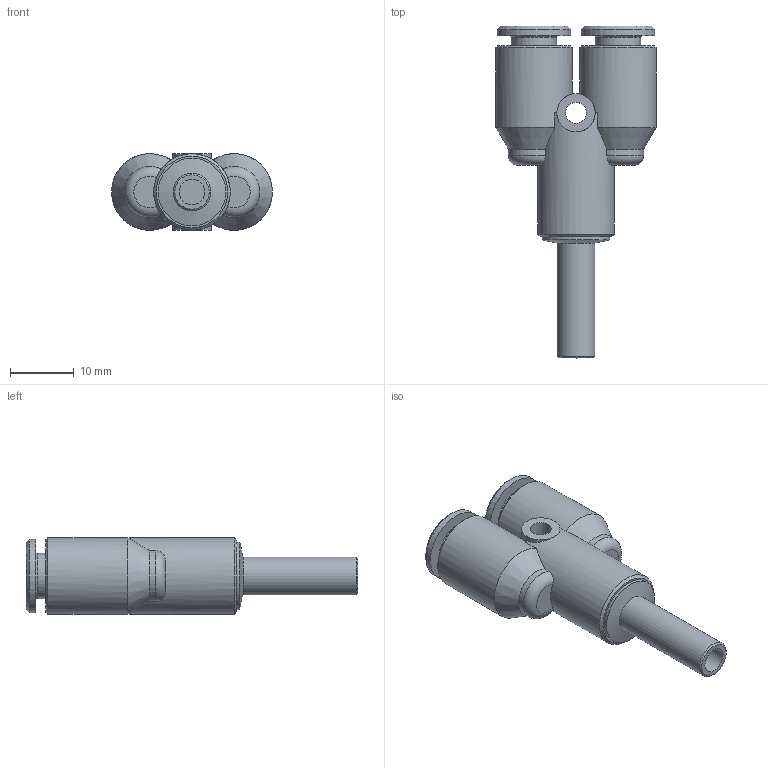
import cadquery as cq

TOTAL_LENGTH = 52.0
TOTAL_WIDTH = 25.2
BODY_RADIUS = 6.0
SOCKET_OFFSET = TOTAL_WIDTH / 2 - BODY_RADIUS

COLLAR_FACE_Y = 13.6
STEM_TIP_Y = COLLAR_FACE_Y - TOTAL_LENGTH

COLLAR_RADIUS = 5.75
COLLAR_THICKNESS = 1.5
COLLAR_CHAMFER = 0.5
NECK_RADIUS = 3.55
NECK_FLARE = 0.25
NECK_END_DEPTH = 3.1

SOCKET_CHAMFER = 0.3
SOCKET_STRAIGHT_DEPTH = 15.9
SOCKET_CONE_DEPTH = 19.3
SOCKET_END_DEPTH = 21.8
NOSE_RADIUS = 4.0
NOSE_FILLET = 1.5

EYE_RADIUS = 3.0
EYE_HOLE_RADIUS = 1.65
EYE_HEIGHT = 2 * BODY_RADIUS

STEM_RADIUS = 2.95
STEM_LENGTH = 18.0
STEM_CHAMFER = 0.25
BORE_RADIUS = 2.0
SHOULDER_Y = STEM_TIP_Y + STEM_LENGTH
CROWN_HEIGHT = 0.5
RIM_HEIGHT = 0.5
BODY_CHAMFER = 0.4
RIM_RADIUS = 5.3


def revolve_about_y(profile):
    """Revolve a closed radius-versus-Y profile around the Y axis."""
    return profile.close().revolve(360, (0, 0, 0), (0, 1, 0))


def make_socket():
    """Release collar, neck, straight body, cone and rounded nose, on the Y axis."""
    collar_back_y = COLLAR_FACE_Y - COLLAR_THICKNESS
    body_top_y = COLLAR_FACE_Y - NECK_END_DEPTH
    nose_y = COLLAR_FACE_Y - SOCKET_END_DEPTH
    profile = (
        cq.Workplane("XY")
        .moveTo(0, COLLAR_FACE_Y)
        .lineTo(COLLAR_RADIUS - COLLAR_CHAMFER, COLLAR_FACE_Y)
        .lineTo(COLLAR_RADIUS, COLLAR_FACE_Y - COLLAR_CHAMFER)
        .lineTo(COLLAR_RADIUS, collar_back_y)
        .lineTo(NECK_RADIUS + NECK_FLARE, collar_back_y)
        .lineTo(NECK_RADIUS, collar_back_y - NECK_FLARE)
        .lineTo(NECK_RADIUS, body_top_y)
        .lineTo(BODY_RADIUS - SOCKET_CHAMFER, body_top_y)
        .lineTo(BODY_RADIUS, body_top_y - SOCKET_CHAMFER)
        .lineTo(BODY_RADIUS, COLLAR_FACE_Y - SOCKET_STRAIGHT_DEPTH)
        .lineTo(NOSE_RADIUS, COLLAR_FACE_Y - SOCKET_CONE_DEPTH)
        .lineTo(NOSE_RADIUS, nose_y + NOSE_FILLET)
        .radiusArc((NOSE_RADIUS - NOSE_FILLET, nose_y), NOSE_FILLET)
        .lineTo(0, nose_y)
    )
    return revolve_about_y(profile)


def make_stem_body():
    """Central body with a stepped, conical shoulder and the plug-in stem."""
    rim_bottom_y = SHOULDER_Y + CROWN_HEIGHT
    body_bottom_y = rim_bottom_y + RIM_HEIGHT
    profile = (
        cq.Workplane("XY")
        .moveTo(0, 0)
        .lineTo(BODY_RADIUS, 0)
        .lineTo(BODY_RADIUS, body_bottom_y + BODY_CHAMFER)
        .lineTo(BODY_RADIUS - BODY_CHAMFER, body_bottom_y)
        .lineTo(RIM_RADIUS, body_bottom_y)
        .lineTo(RIM_RADIUS, rim_bottom_y)
        .lineTo(STEM_RADIUS, SHOULDER_Y)
        .lineTo(STEM_RADIUS, STEM_TIP_Y + STEM_CHAMFER)
        .lineTo(STEM_RADIUS - STEM_CHAMFER, STEM_TIP_Y)
        .lineTo(0, STEM_TIP_Y)
    )
    return revolve_about_y(profile)


def make_bore():
    """Blind bore running the length of the stem."""
    profile = (
        cq.Workplane("XY")
        .moveTo(0, STEM_TIP_Y)
        .lineTo(BORE_RADIUS, STEM_TIP_Y)
        .lineTo(BORE_RADIUS, SHOULDER_Y)
        .lineTo(0, SHOULDER_Y)
    )
    return revolve_about_y(profile)


def make_vertical_cylinder(radius):
    """Cylinder on the eye axis, centred on mid-height."""
    return cq.Workplane("XY").circle(radius).extrude(EYE_HEIGHT / 2, both=True)


result = make_stem_body()
for side in (-1, 1):
    result = result.union(make_socket().translate((side * SOCKET_OFFSET, 0, 0)))
result = result.union(make_vertical_cylinder(EYE_RADIUS))
result = result.cut(make_vertical_cylinder(EYE_HOLE_RADIUS))
result = result.cut(make_bore())